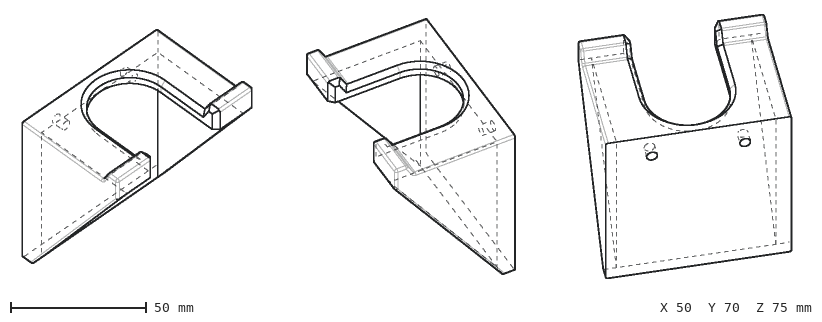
import cadquery as cq
import math

depth = 50.0
width = 70.0
height = 75.0
wall = 5.0

lip_height = 5.0
lip_angle = 60.0

slot_radius = 16.0
slot_chamfer = 2.0

hole_diameter = 4.0
hole_spacing = 35.0
hole_height = 60.0

edge_radius = 1.0

shelf_top = height - lip_height
shelf_bottom = shelf_top - wall
lip_start = depth - wall
lip_foot = lip_start - lip_height / math.tan(math.radians(lip_angle))
slot_center = wall + slot_radius
tolerance = 0.01


def side_profile():
    """Outer outline in the XZ plane, centred extrusion along Y."""
    return (
        cq.Workplane("XZ")
        .moveTo(0, 0)
        .lineTo(wall, 0)
        .lineTo(depth, shelf_bottom)
        .lineTo(depth, height)
        .lineTo(lip_start, height)
        .lineTo(lip_foot, shelf_top)
        .lineTo(0, shelf_top)
        .close()
        .extrude(width / 2, both=True)
    )


def cut_cavity(body):
    """Open the space below the shelf, between the side walls."""
    cavity = cq.Workplane("XY").box(
        depth, width - 2 * wall, shelf_bottom, centered=(False, True, False)
    )
    return body.cut(cavity.translate((wall, 0, 0)))


def cut_slot(body):
    """Cut the round-ended slot through the shelf, open at the arm tips."""
    slot = (
        cq.Workplane("XY")
        .workplane(offset=shelf_bottom)
        .moveTo(depth, -slot_radius)
        .lineTo(slot_center, -slot_radius)
        .threePointArc((wall, 0), (slot_center, slot_radius))
        .lineTo(depth, slot_radius)
        .close()
        .extrude(height - shelf_bottom)
    )
    return body.cut(slot)


def on_slot_rim(edge):
    """True for the slot edges along the upper surface and the arm tips."""
    box = edge.BoundingBox()
    within_slot = max(abs(box.ymin), abs(box.ymax)) < slot_radius + tolerance
    on_arm = box.xmin > wall - tolerance and box.zmax > shelf_top - tolerance
    arc_seam = box.xlen < tolerance and box.xmax < depth - tolerance
    below_top = box.zmin < shelf_top - tolerance and box.xmax < depth - tolerance
    return within_slot and on_arm and not arc_seam and not below_top


def on_outer_edge(edge):
    """True for the side outlines and the lip edges, except at the mounting face."""
    box = edge.BoundingBox()
    on_side = box.ylen < tolerance and abs(abs(box.ymin) - width / 2) < tolerance
    across = box.xlen < tolerance and box.zlen < tolerance
    on_lip = across and box.xmin > lip_foot - tolerance and box.zmin > shelf_top - tolerance
    return (on_side and box.xmax > tolerance) or on_lip


def drill_holes(body):
    """Drill the mounting holes through the back plate."""
    for y in (-hole_spacing / 2, hole_spacing / 2):
        hole = (
            cq.Workplane("YZ")
            .center(y, hole_height)
            .circle(hole_diameter / 2)
            .extrude(wall)
        )
        body = body.cut(hole)
    return body


body = cut_slot(cut_cavity(side_profile()))
rim = [edge for edge in body.edges().vals() if on_slot_rim(edge)]
body = body.newObject(rim).chamfer(slot_chamfer)
outer_edges = [edge for edge in body.edges().vals() if on_outer_edge(edge)]
body = body.newObject(outer_edges).fillet(edge_radius)
result = drill_holes(body)